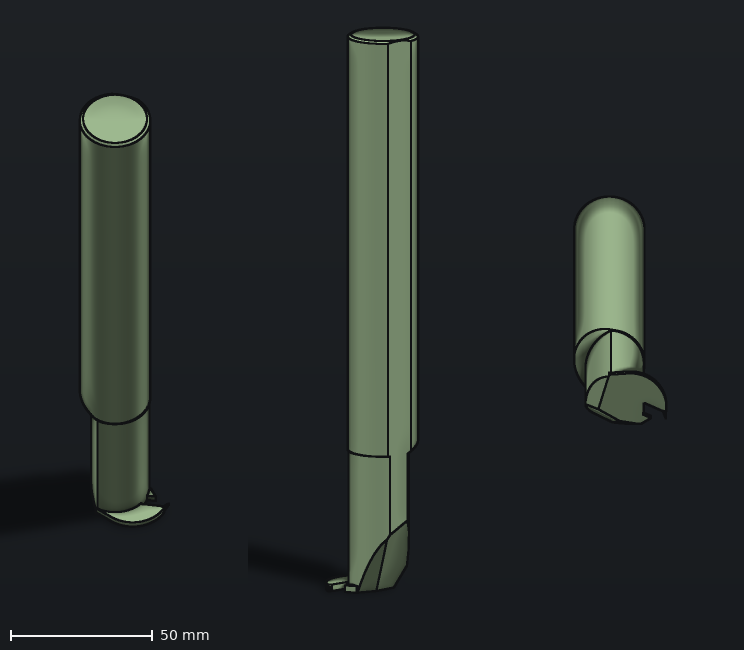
import cadquery as cq
import math

total_length = 200.0
shank_radius = 12.5
shank_flat_y = 11.5
end_chamfer_width = 1.2
end_chamfer_height = 0.8

neck_length = 50.0
neck_left_x = -8.2
neck_radius = 12.2
neck_back_radius = 16.0
shoulder_left_z = 54.0

heel_foot_x = -3.5
heel_height = 8.5
relief_ridge_x = 4.8
relief_ridge_y = 3.5
relief_rise = 0.38
relief_left_slope = 0.24
relief_right_slope = -0.13

blade_thickness = 2.5
blade_radius = 12.5
blade_center = (7.2, -2.5)
blade_back = (-3.5, -11.8)
blade_root = (11.5, -5.2)
rake_corner = (18.5, -4.2)
rim_end_x = 19.5
tip = (20.3, -1.5)
tip_thickness = 0.8
spur_outline = [(8.0, 2.5), (12.5, 2.5), (15.2, -0.5), (12.5, -1.0), (8.0, -1.0)]

margin = 20.0


def blade_rim_point(angle):
    return (
        blade_center[0] + blade_radius * math.cos(angle),
        blade_center[1] + blade_radius * math.sin(angle),
    )


def make_shank():
    """Full-length chamfered rod with a shallow flat on its +Y side."""
    chamfer_start_z = total_length - end_chamfer_height
    profile = [
        (0, 0),
        (shank_radius, 0),
        (shank_radius, chamfer_start_z),
        (shank_radius - end_chamfer_width, total_length),
        (0, total_length),
    ]
    rod = cq.Workplane("XZ").polyline(profile).close().revolve(360, (0, 0), (0, 1))
    flat_cut = cq.Workplane("XY").box(
        2 * margin, margin, total_length, centered=(True, False, False)
    ).translate((0, shank_flat_y, 0))
    return rod.cut(flat_cut)


def make_neck_envelope():
    """Curved-back neck space, widened by a cone into the shank space above it."""
    shoulder_growth = neck_left_x + shank_radius
    cone_steepness = (shoulder_left_z - neck_length) / shoulder_growth
    back_center_x = neck_left_x + neck_back_radius
    space_radius = neck_back_radius + margin
    space_start_z = neck_length + margin * cone_steepness
    shank_space = (
        cq.Workplane("XZ", origin=(back_center_x, 0, 0))
        .moveTo(0, neck_length)
        .lineTo(neck_back_radius, neck_length)
        .lineTo(space_radius, space_start_z)
        .lineTo(space_radius, total_length)
        .lineTo(0, total_length)
        .close()
        .revolve(360, (0, 0), (0, 1))
    )
    back = cq.Workplane("XY").center(back_center_x, 0).circle(neck_back_radius).extrude(neck_length)
    front = cq.Workplane("XY").circle(neck_radius).extrude(neck_length)
    return shank_space.union(back.intersect(front))


def make_relief(slope):
    """Space behind a rising plane whose foot passes through the relief ridge."""
    left_y = relief_ridge_y - slope * (relief_ridge_x + margin)
    right_y = relief_ridge_y + slope * (margin - relief_ridge_x)
    top_shift = relief_rise * neck_length

    def section(height, shift):
        corners = [
            (-margin, left_y + shift),
            (margin, right_y + shift),
            (margin, 3 * margin),
            (-margin, 3 * margin),
        ]
        points = [cq.Vector(x, y, height) for x, y in corners]
        return cq.Wire.makePolygon(points, close=True)

    return cq.Workplane(
        cq.Solid.makeLoft([section(0, 0), section(neck_length, top_shift)], True)
    )


def make_blade():
    """Flat blade with a straight back tangent to its round rim, and a thin tip."""
    to_center = (blade_center[0] - blade_back[0], blade_center[1] - blade_back[1])
    back_distance = math.hypot(*to_center)
    tangent_angle = (
        math.atan2(-to_center[1], -to_center[0])
        + math.acos(blade_radius / back_distance)
    )
    rim_start = blade_rim_point(tangent_angle)
    rim_end_angle = -math.acos((rim_end_x - blade_center[0]) / blade_radius)
    rim_middle = blade_rim_point((tangent_angle % (2 * math.pi) - 2 * math.pi + rim_end_angle) / 2)
    rim_end = blade_rim_point(rim_end_angle)
    plate = (
        cq.Workplane("XY")
        .moveTo(*blade_back)
        .lineTo(*rim_start)
        .threePointArc(rim_middle, rim_end)
        .lineTo(*rake_corner)
        .lineTo(*blade_root)
        .lineTo(0, 0)
        .close()
        .extrude(blade_thickness)
    )
    edge = (
        cq.Workplane("XY", origin=(0, 0, (blade_thickness - tip_thickness) / 2))
        .polyline([rake_corner, rim_end, tip])
        .close()
        .extrude(tip_thickness)
    )
    spur = cq.Workplane("XY").polyline(spur_outline).close().extrude(blade_thickness)
    return plate.union(edge).union(spur)


def make_heel_cut():
    """Wedge that bevels the foot of the curved back."""
    slope = (heel_foot_x - neck_left_x) / heel_height
    return (
        cq.Workplane("XZ")
        .moveTo(heel_foot_x, 0)
        .lineTo(heel_foot_x - slope * margin, margin)
        .lineTo(-2 * margin, margin)
        .lineTo(-2 * margin, 0)
        .close()
        .extrude(margin, both=True)
    )


body = make_shank().intersect(make_neck_envelope())
for relief_slope in (relief_left_slope, relief_right_slope):
    body = body.cut(make_relief(relief_slope))

result = body.union(make_blade()).cut(make_heel_cut())